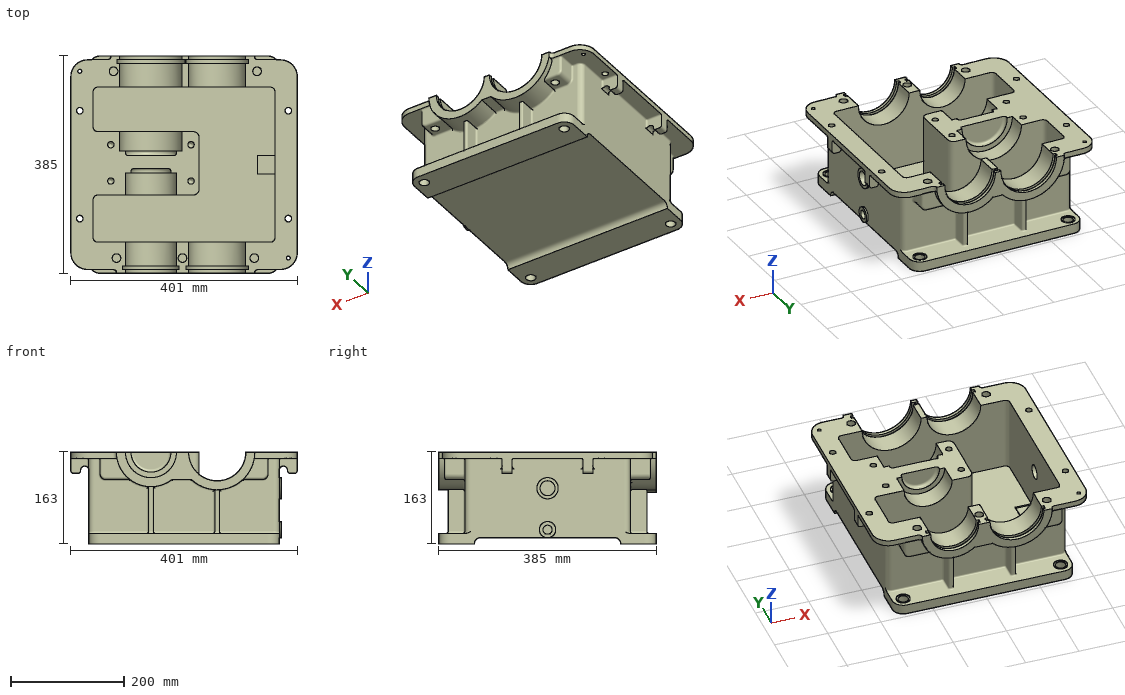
import cadquery as cq
import math


length_x = 401.0
length_y = 385.0
height = 163.0
cast_fillet = 3.2

flange_thick = 11.0
flange_y = 371.5
flange_corner = 30.0

box_x = 337.5
box_y = 292.7
box_corner = 10.5
cavity_x = 321.5
cavity_y = 274.3
cavity_corner = 8.0
floor_z = -145.0
foot_thick = 19.2
foot_corner = 21.0
foot_relief_y = 258.2
foot_relief_depth = 11.2
foot_relief_fillet = 10.0
foot_hole_radius = 9.2
foot_spotface_radius = 12.5
foot_spotface_depth = 1.5

shaft_offset = 58.5
bore_wall = 16.0
boss_side_fillet = 6.0
small_bore = 45.1
medium_bore = 50.5
large_bore = 55.5
groove_depth = 5.0
groove_width = 6.5
groove_inset = 7.0

block_depth = 48.5
block_x = 296.7
block_y = 364.0
block_corner = 9.5
block_edge = 4.0
bolt_radius = 7.5
bolt_y = 165.2
front_bolt_xs = (-119.5, -3.0, 124.5)
back_bolt_xs = (-124.7, 129.0)

rib_thick = 8.5
rib_y = 352.0
rib_edge = 3.0

lug_spacing = 142.8
lug_width = 17.5
lug_depth = 37.5
lug_round = 5.2
hook_radius = 7.2
hook_x = 175.5
hook_z = -32.0

island_right = 27.0
island_front = -53.7
island_back = 58.5
island_corner = 11.2
front_seat_end = -15.0
front_recess_end = -7.0
front_recess_radius = 35.3
back_seat_end = 24.0
back_recess_end = 16.0
back_recess_radius = small_bore
recess_fillet = 5.0
cap_screw_radius = 5.5
cap_screw_depth = 32.0
cap_screw_xs = (-129.5, 12.5)
cap_screw_ys = (-29.0, 35.3)

flange_hole_radius = 5.5
flange_hole_x = 184.5
flange_hole_y = 95.5
dowel_radius = 3.2
dowel_y = bolt_y

pad_height = 3.2
gauge_z = -63.8
gauge_pad_radius = 19.0
gauge_radius = 13.2
drain_z = -137.0
drain_pad_radius = 14.5
drain_radius = 8.0
sump_x = 30.5
sump_y = 33.0
sump_depth = 3.0

front_bores = ((-shaft_offset, small_bore), (shaft_offset, medium_bore))
back_bores = ((-shaft_offset, large_bore), (shaft_offset, medium_bore))
foot_top = foot_thick - height
flange_bottom = -flange_thick

near = 0.5


def slab(size_x, size_y, z_low, z_high, corner):
    """Upright block centred on Z with rounded vertical corners."""
    block = cq.Workplane("XY").box(size_x, size_y, z_high - z_low, centered=(True, True, False))
    return block.edges("|Z").fillet(corner).translate((0, 0, z_low))


def span(x_low, x_high, y_low, y_high, z_low, z_high):
    """Plain block between two opposite corners."""
    size = (x_high - x_low, y_high - y_low, z_high - z_low)
    return cq.Workplane("XY").box(*size, centered=False).translate((x_low, y_low, z_low))


def shaft_cylinder(x, radius, y_low, y_high):
    """Cylinder along Y on a shaft axis."""
    return cq.Workplane("XZ", origin=(x, y_high, 0)).circle(radius).extrude(y_high - y_low)


def drill(x, y, radius, depth):
    """Round hole tool going down from the parting plane."""
    return cq.Workplane("XY", origin=(x, y, -depth)).circle(radius).extrude(depth)


def band(x_half, y_half, z_low, z_high):
    """Selector for edges centred inside a box about the Z axis."""
    return cq.selectors.BoxSelector((-x_half, -y_half, z_low), (x_half, y_half, z_high))


def make_rib(x):
    """Plate that props a front and a back bore; it passes through the box."""
    rib = span(x - rib_thick / 2, x + rib_thick / 2, -rib_y / 2, rib_y / 2, foot_top, -block_depth)
    return rib.edges("|Z").fillet(rib_edge)


def on_side(shape, side, y):
    """Move a lug shape to position y on the -X (side = -1) or +X (side = 1) wall."""
    if side < 0:
        shape = shape.mirror("YZ")
    return shape.translate((0, y, 0))


def make_lug():
    """Block under the flange edge on the +X wall, rounded at its outer foot."""
    half = lug_width / 2
    lug = span(box_x / 2 - box_corner, length_x / 2, -half, half, -lug_depth, 0)
    return lug.edges("|Y and >X and <Z").fillet(lug_round)


def make_hook_slot():
    """Space that turns a lug into a hook: round at the top, flared at the mouth."""
    lip = hook_x + hook_radius
    wall = box_x / 2
    width = lug_width + 2 * cast_fillet
    wall_rise = math.sqrt(hook_radius**2 - (hook_x - wall) ** 2)
    slot = (
        cq.Workplane("XZ", origin=(0, width / 2, 0))
        .moveTo(wall, hook_z + wall_rise)
        .threePointArc((hook_x, hook_z + hook_radius), (lip, hook_z))
        .lineTo(lip, lug_round - lug_depth)
        .radiusArc((lip + lug_round, -lug_depth), -lug_round)
        .lineTo(wall, -lug_depth)
        .close()
    )
    return slot.extrude(width)


def end_wall_roots(body):
    """Edges where features meet the outer faces of the two end walls."""
    reach = box_x / 2 - box_corner
    up_to_face = band(reach, box_y / 2 + near, -height / 2, -near)
    short_of_face = band(reach, box_y / 2 - near, -height / 2, -near)
    return body.edges(up_to_face - short_of_face)


def make_base():
    """Solid box on its foot, with the ribs, filleted where they meet."""
    base = slab(box_x, box_y, -height, 0, box_corner)
    base = base.union(slab(length_x, length_y, -height, foot_top, foot_corner))
    for x in (-shaft_offset, shaft_offset):
        base = base.union(make_rib(x))
    foot_line = band(length_x / 2 - 4, rib_y / 2 + near, foot_top - near, foot_top + near)
    rib_roots = band(box_x / 2 - box_corner, box_y / 2 + near, foot_top + 4, -block_depth - 4)
    base = base.edges(foot_line + rib_roots).fillet(cast_fillet)
    base = base.intersect(slab(box_x, length_y, -height, 0, foot_corner))
    return base.union(slab(box_x, box_y, foot_top, 0, box_corner))


def make_flange():
    """Top flange with its lugs and bolt blocks, filleted to the upper box."""
    block = cq.Workplane("XY").box(block_x, block_y, block_depth)
    block = block.edges("|Y and <Z").fillet(block_corner)
    block = block.faces("<Y or >Y").edges("not >Z").fillet(block_edge)

    flange = slab(box_x, box_y, -height / 2, 0, box_corner)
    flange = flange.union(slab(length_x, flange_y, flange_bottom, 0, flange_corner))
    flange = flange.union(block.translate((0, 0, -block_depth / 2)))
    lug_places = [(side, side_y * lug_spacing / 2) for side in (-1, 1) for side_y in (-1, 1)]
    for side, y in lug_places:
        flange = flange.union(on_side(make_lug(), side, y))

    root_reach = hook_x + lug_width / 2 + 4
    under_flange = band(root_reach, block_y / 2 + near, flange_bottom - near, flange_bottom + near)
    beside_lugs = band(box_x / 2 + near, lug_spacing / 2 + lug_width, 4 - lug_depth, flange_bottom - 4)
    roots = flange.edges(under_flange + beside_lugs).add(end_wall_roots(flange))
    flange = roots.fillet(cast_fillet)
    for side, y in lug_places:
        flange = flange.cut(on_side(make_hook_slot(), side, y))
    return flange


def make_bosses():
    """Half-round bore bosses and the webs between them, filleted to the end walls."""
    end = length_y / 2
    bosses = slab(box_x, box_y, -height / 2, 0, box_corner)
    bosses = bosses.union(span(-shaft_offset, shaft_offset, -end, end, -block_depth, 0))
    for bores, y_low, y_high in ((front_bores, -end, 0), (back_bores, 0, end)):
        for x, bore_radius in bores:
            radius = bore_radius + bore_wall
            upper_half = span(x - radius, x + radius, y_low, y_high, 0, radius)
            bosses = bosses.union(shaft_cylinder(x, radius, y_low, y_high).cut(upper_half))
    return end_wall_roots(bosses).fillet(cast_fillet)


def make_body():
    """Outer body before the inside is cut away."""
    body = make_base().union(make_flange()).union(make_bosses())
    beside_bosses = band(block_x / 2, flange_y / 2 + near, flange_bottom + near, -near)
    return body.edges(beside_bosses).edges("not(#Z)").fillet(boss_side_fillet)


def make_cavity():
    """Inside space, leaving out the bearing island on the -X side."""
    cavity = slab(cavity_x, cavity_y, floor_z, 0, cavity_corner)
    left = -cavity_x / 2
    island = span(left, island_right, island_front, island_back, floor_z, 0)
    cavity = cavity.cut(island.edges("|Z and >X").fillet(island_corner))
    root_edges = cq.selectors.BoxSelector(
        (left - near, island_front - near, floor_z), (left + near, island_back + near, 0)
    )
    return cavity.edges("|Z").edges(root_edges).fillet(cavity_corner)


def cut_end_bores(body):
    """Bores through the end walls, each with a ring groove near the outside."""
    end = length_y / 2
    groove_out = end - groove_inset
    groove_in = groove_out - groove_width
    for x, radius in front_bores:
        body = body.cut(shaft_cylinder(x, radius, -end, -cavity_y / 2 + cavity_corner))
        body = body.cut(shaft_cylinder(x, radius + groove_depth, -groove_out, -groove_in))
    for x, radius in back_bores:
        body = body.cut(shaft_cylinder(x, radius, cavity_y / 2 - cavity_corner, end))
        body = body.cut(shaft_cylinder(x, radius + groove_depth, groove_in, groove_out))
    return body


def cut_island_seats(body):
    """Two blind bearing seats in the island, each ending in a smaller recess, and cap screws."""
    front_seat = shaft_cylinder(-shaft_offset, small_bore, island_front, front_seat_end)
    front_recess = shaft_cylinder(-shaft_offset, front_recess_radius, front_seat_end, front_recess_end)
    back_seat = shaft_cylinder(-shaft_offset, large_bore, back_seat_end, island_back)
    back_recess = shaft_cylinder(-shaft_offset, back_recess_radius, back_recess_end, back_seat_end)
    body = body.cut(front_seat).cut(front_recess.faces(">Y").edges().fillet(recess_fillet))
    body = body.cut(back_seat).cut(back_recess.faces("<Y").edges().fillet(recess_fillet))
    tip = cq.Workplane("XY").add(cq.Solid.makeCone(0, cap_screw_radius, cap_screw_radius))
    for x in cap_screw_xs:
        for y in cap_screw_ys:
            placed_tip = tip.translate((x, y, -cap_screw_depth - cap_screw_radius))
            body = body.cut(drill(x, y, cap_screw_radius, cap_screw_depth).union(placed_tip))
    return body


def cut_flange_holes(body):
    """Flange screws, dowels, and the bolts through the bore blocks."""
    for x in (-flange_hole_x, flange_hole_x):
        for y in (-flange_hole_y, flange_hole_y):
            body = body.cut(drill(x, y, flange_hole_radius, flange_thick))
    for side in (-1, 1):
        body = body.cut(drill(side * flange_hole_x, -side * dowel_y, dowel_radius, flange_thick))
    for x in front_bolt_xs:
        body = body.cut(drill(x, -bolt_y, bolt_radius, block_depth))
    for x in back_bolt_xs:
        body = body.cut(drill(x, bolt_y, bolt_radius, block_depth))
    return body


def cut_foot(body):
    """Relief under the foot and a spot-faced hole at each corner centre."""
    half = foot_relief_y / 2
    relief = span(-box_x / 2, box_x / 2, -half, half, -height, foot_relief_depth - height)
    body = body.cut(relief.edges("|X and >Z").fillet(foot_relief_fillet))
    hole_x = box_x / 2 - foot_corner
    hole_y = length_y / 2 - foot_corner
    holes = cq.Workplane("XY", origin=(0, 0, -height)).rect(2 * hole_x, 2 * hole_y, forConstruction=True)
    body = body.cut(holes.vertices().circle(foot_hole_radius).extrude(foot_thick))
    spotfaces = cq.Workplane("XY", origin=(0, 0, foot_top - foot_spotface_depth))
    spotfaces = spotfaces.rect(2 * hole_x, 2 * hole_y, forConstruction=True).vertices()
    return body.cut(spotfaces.circle(foot_spotface_radius).extrude(foot_spotface_depth + cast_fillet))


def add_wall_openings(body):
    """Gauge and drain holes with outside pads, and the sump by the drain."""
    inner = cavity_x / 2
    outer = box_x / 2
    through = outer - inner + pad_height
    openings = ((gauge_z, gauge_pad_radius, gauge_radius), (drain_z, drain_pad_radius, drain_radius))
    for z, pad_radius, hole_radius in openings:
        wall = cq.Workplane("YZ", origin=(inner, 0, z))
        body = body.union(wall.circle(pad_radius).extrude(through))
        body = body.cut(wall.circle(hole_radius).extrude(through))
    sump = span(inner - sump_x, inner, -sump_y / 2, sump_y / 2, floor_z - sump_depth, floor_z)
    return body.cut(sump)


housing = make_body().cut(make_cavity())
housing = cut_end_bores(housing)
housing = cut_island_seats(housing)
housing = cut_flange_holes(housing)
housing = cut_foot(housing)
result = add_wall_openings(housing)